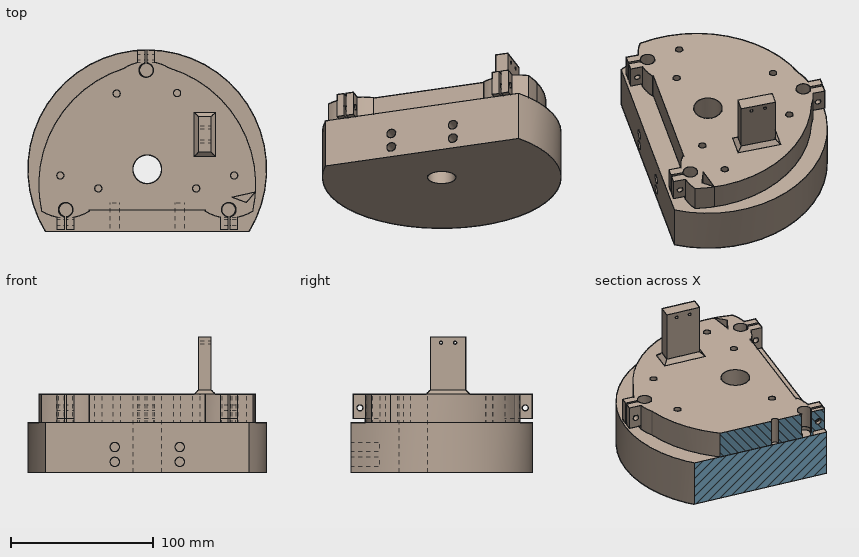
import cadquery as cq
import math

base_radius = 83.7
base_height = 35.0
flat_y = -43.7
center_bore_diameter = 20.0

front_hole_diameter = 6.5
front_hole_depth = 20.1
front_hole_half_spacing = 22.8
front_hole_heights = (7.5, 17.9)

plate_thickness = 20.0
plate_top = base_height + plate_thickness
side_arc_radius = 85.4
side_arc_center_x = -9.4
side_arc_center_y = -10.7
plate_front_y = -28.6
corner_y = -29.3

rear_lobe_x = -0.7
rear_lobe_half_width = 15.9
rear_lobe_tip_y = 75.5

front_lobe_x = 57.2
front_lobe_tip_y = -34.1
front_lobe_back_y = -19.5

ear_pair_width = 12.0
ear_height = 17.0
ear_split = 1.5
ear_bolt_diameter = 4.0
ear_bolt_z = 45.4
clamp_bore_diameter = 10.0
lower_bore_diameter = 9.7
lower_bore_shift = 0.3
rear_clamp_x = -0.8
rear_ear_root_y = 74.8
rear_bore_y = 69.5
rear_ear_end_y = 83.5
rear_bolt_y = 78.5
front_ear_root_y = -33.6
front_bore_y = -28.3
front_ear_end_y = -42.2
front_bolt_y = -37.3

plate_hole_diameter = 5.0
plate_hole_points = [
    (-21.5, 53.0), (21.0, 53.4),
    (-61.0, -4.4), (61.0, -4.4),
    (-34.3, -13.4), (34.3, -13.4),
]

relief_points = [(75.7, -15.9), (59.5, -19.6), (69.5, -23.3)]

post_x = 40.3
post_y = 24.5
post_width = 8.9
post_length = 25.0
post_height = 40.2
foot_size = 3.0
post_hole_diameter = 2.0
post_hole_spacing = 9.9
post_hole_drop = 4.0


def vertical_cylinder(x, y, diameter, bottom, top):
    return (
        cq.Workplane("XY", origin=(x, y, bottom))
        .circle(diameter / 2)
        .extrude(top - bottom)
    )


def block(x_range, y_range, z_range):
    size = [end - start for start, end in (x_range, y_range, z_range)]
    corner = (x_range[0], y_range[0], z_range[0])
    return cq.Workplane("XY", origin=corner).box(*size, centered=False)


def side_arc_x(y):
    """X of the right-hand side arc at the given Y."""
    return side_arc_center_x + math.sqrt(side_arc_radius**2 - (y - side_arc_center_y) ** 2)


def side_arc_y(x):
    """Y of the rear half of the right-hand side arc at the given X."""
    return side_arc_center_y + math.sqrt(side_arc_radius**2 - (x - side_arc_center_x) ** 2)


def make_base():
    flat_half_width = math.sqrt(base_radius**2 - flat_y**2)
    base = (
        cq.Workplane("XY")
        .moveTo(flat_half_width, flat_y)
        .threePointArc((0, base_radius), (-flat_half_width, flat_y))
        .close()
        .extrude(base_height)
    )
    base = base.cut(vertical_cylinder(0, 0, center_bore_diameter, 0, base_height))
    front_holes = (
        cq.Workplane("XZ", origin=(0, flat_y, 0))
        .pushPoints([
            (side * front_hole_half_spacing, z)
            for side in (-1, 1)
            for z in front_hole_heights
        ])
        .circle(front_hole_diameter / 2)
        .extrude(-front_hole_depth)
    )
    return base.cut(front_holes)


def plate_body():
    corner_x = side_arc_x(corner_y)
    middle_x = side_arc_x(0)
    lobe_right_x = rear_lobe_x + rear_lobe_half_width
    lobe_left_x = rear_lobe_x - rear_lobe_half_width
    lobe_right = (lobe_right_x, side_arc_y(lobe_right_x))
    lobe_left = (lobe_left_x, side_arc_y(-lobe_left_x))
    return (
        cq.Workplane("XY", origin=(0, 0, base_height))
        .moveTo(-front_lobe_x, plate_front_y)
        .lineTo(front_lobe_x, plate_front_y)
        .lineTo(corner_x, corner_y)
        .threePointArc((middle_x, 0), lobe_right)
        .threePointArc((rear_lobe_x, rear_lobe_tip_y), lobe_left)
        .threePointArc((-middle_x, 0), (-corner_x, corner_y))
        .close()
        .extrude(plate_thickness)
    )


def front_lobe(side):
    x = side * front_lobe_x
    half_width = side_arc_x(corner_y) - front_lobe_x
    left = (x - half_width, corner_y)
    right = (x + half_width, corner_y)
    return (
        cq.Workplane("XY", origin=(0, 0, base_height))
        .moveTo(*left)
        .threePointArc((x, front_lobe_tip_y), right)
        .threePointArc((x, front_lobe_back_y), left)
        .close()
        .extrude(plate_thickness)
    )


def add_clamp(plate, x, bore_y, ear_root_y, ear_end_y, bolt_y, lower_bore_x):
    """Add a pair of ears to the plate, then cut its bore, its split and its bolt hole."""
    ear_bottom = plate_top - ear_height
    half_width = ear_pair_width / 2
    ear_x_range = (x - half_width, x + half_width)
    split_x_range = (x - ear_split / 2, x + ear_split / 2)
    clamp_y_range = sorted((bore_y, ear_end_y))
    free_y_range = sorted((ear_root_y, ear_end_y))

    ears = block(ear_x_range, clamp_y_range, (base_height, plate_top))
    clearance = block(ear_x_range, free_y_range, (base_height, ear_bottom))
    split = block(split_x_range, clamp_y_range, (base_height, plate_top))
    bolt_hole = (
        cq.Workplane("YZ", origin=(x - half_width, bolt_y, ear_bolt_z))
        .circle(ear_bolt_diameter / 2)
        .extrude(ear_pair_width)
    )
    return (
        plate
        .union(ears)
        .cut(clearance)
        .cut(split)
        .cut(vertical_cylinder(x, bore_y, clamp_bore_diameter, ear_bottom, plate_top))
        .cut(vertical_cylinder(lower_bore_x, bore_y, lower_bore_diameter, base_height, ear_bottom))
        .cut(bolt_hole)
    )


def make_post():
    foot = (
        cq.Workplane("XY", origin=(post_x, post_y, plate_top))
        .rect(post_width + 2 * foot_size, post_length + 2 * foot_size)
        .workplane(offset=foot_size)
        .rect(post_width, post_length)
        .loft(ruled=True)
    )
    shaft = (
        cq.Workplane("XY", origin=(post_x, post_y, plate_top))
        .rect(post_width, post_length)
        .extrude(post_height)
    )
    holes = (
        cq.Workplane("YZ", origin=(post_x, post_y, plate_top + post_height - post_hole_drop))
        .pushPoints([(-post_hole_spacing / 2, 0), (post_hole_spacing / 2, 0)])
        .circle(post_hole_diameter / 2)
        .extrude(post_width / 2, both=True)
    )
    return foot.union(shaft).cut(holes)


def make_top_plate():
    plate = plate_body()
    for side in (-1, 1):
        plate = plate.union(front_lobe(side))

    plate = add_clamp(
        plate,
        rear_clamp_x,
        rear_bore_y,
        rear_ear_root_y,
        rear_ear_end_y,
        rear_bolt_y,
        rear_clamp_x + lower_bore_shift,
    )
    for side in (-1, 1):
        plate = add_clamp(
            plate,
            side * front_lobe_x,
            front_bore_y,
            front_ear_root_y,
            front_ear_end_y,
            front_bolt_y,
            side * (front_lobe_x - lower_bore_shift),
        )

    plate = plate.cut(vertical_cylinder(0, 0, center_bore_diameter, base_height, plate_top))
    for x, y in plate_hole_points:
        plate = plate.cut(vertical_cylinder(x, y, plate_hole_diameter, base_height, plate_top))
    relief = (
        cq.Workplane("XY", origin=(0, 0, base_height))
        .polyline(relief_points)
        .close()
        .extrude(plate_thickness)
    )
    return plate.cut(relief).union(make_post())


base = make_base()
top_plate = make_top_plate()

result = cq.Compound.makeCompound([base.val(), top_plate.val()])